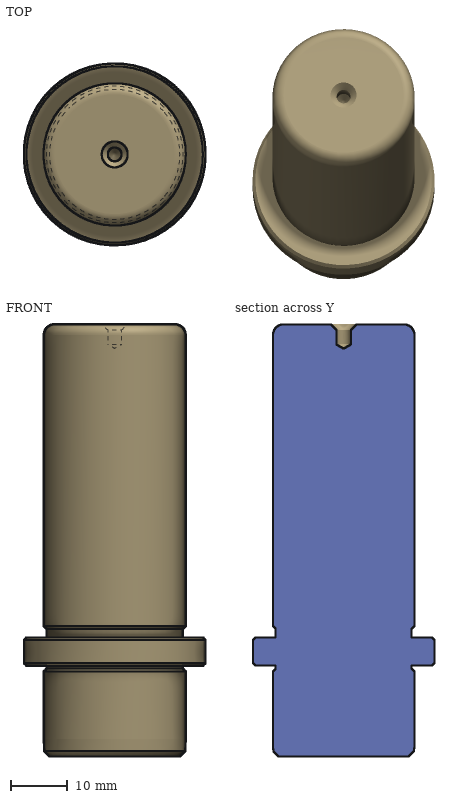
import cadquery as cq
import math

total_height = 76.0
body_diameter = 25.0
body_radius = body_diameter / 2
flange_diameter = 32.0
flange_radius = flange_diameter / 2

flange_bottom = 15.95
flange_thickness = 5.0
flange_top = flange_bottom + flange_thickness
flange_chamfer = 0.5

groove_depth = 0.5
groove_radius = body_radius - groove_depth
upper_groove_width = 2.0
lower_groove_width = 1.0
upper_groove_end = flange_top + upper_groove_width
lower_groove_end = flange_bottom - lower_groove_width

top_fillet = 2.0
lead_in_taper = 0.1
lead_in_radius = body_radius - lead_in_taper
lead_in_height = 3.05
bottom_chamfer = 1.0

countersink_radius = 2.3
countersink_angle = 90.0
pilot_radius = 1.2
pilot_length = 2.5
drill_point_angle = 120.0


def cone_height(large_radius, small_radius, included_angle):
    """Axial length of a cone between two radii."""
    return (large_radius - small_radius) / math.tan(math.radians(included_angle / 2))


def make_pin():
    """Solid of revolution: pin, flange and relief grooves."""
    fillet_center_radius = body_radius - top_fillet
    fillet_center_height = total_height - top_fillet
    fillet_diagonal = top_fillet * math.sqrt(0.5)
    return (
        cq.Workplane("XZ")
        .moveTo(0, 0)
        .lineTo(lead_in_radius - bottom_chamfer, 0)
        .lineTo(lead_in_radius, bottom_chamfer)
        .lineTo(body_radius, lead_in_height)
        .lineTo(body_radius, lower_groove_end)
        .lineTo(groove_radius, lower_groove_end + groove_depth)
        .lineTo(groove_radius, flange_bottom)
        .lineTo(flange_radius - flange_chamfer, flange_bottom)
        .lineTo(flange_radius, flange_bottom + flange_chamfer)
        .lineTo(flange_radius, flange_top - flange_chamfer)
        .lineTo(flange_radius - flange_chamfer, flange_top)
        .lineTo(groove_radius, flange_top)
        .lineTo(groove_radius, upper_groove_end - groove_depth)
        .lineTo(body_radius, upper_groove_end)
        .lineTo(body_radius, fillet_center_height)
        .threePointArc(
            (fillet_center_radius + fillet_diagonal, fillet_center_height + fillet_diagonal),
            (fillet_center_radius, total_height),
        )
        .lineTo(0, total_height)
        .close()
        .revolve(360, (0, 0, 0), (0, 1, 0))
    )


def make_centre_hole():
    """Cutter with a conical mouth, a pilot bore and a drill point."""
    pilot_top = total_height - cone_height(countersink_radius, pilot_radius, countersink_angle)
    pilot_bottom = pilot_top - pilot_length
    tip = pilot_bottom - cone_height(pilot_radius, 0, drill_point_angle)
    return (
        cq.Workplane("XZ")
        .moveTo(0, total_height)
        .lineTo(countersink_radius, total_height)
        .lineTo(pilot_radius, pilot_top)
        .lineTo(pilot_radius, pilot_bottom)
        .lineTo(0, tip)
        .close()
        .revolve(360, (0, 0, 0), (0, 1, 0))
    )


result = make_pin().cut(make_centre_hole())